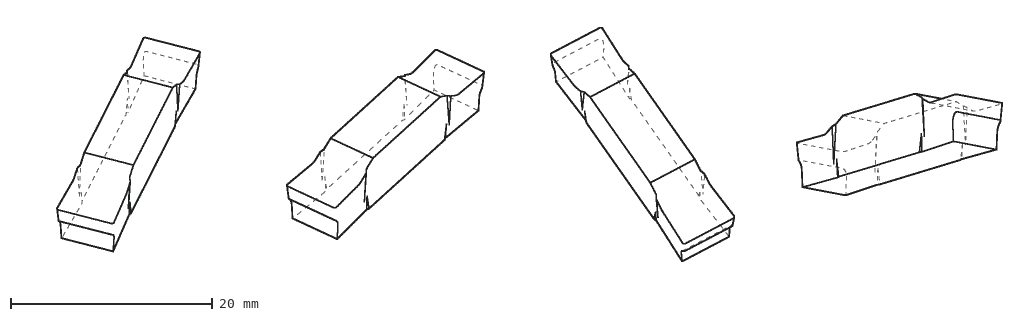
import cadquery as cq
import math

length = 25.6
height = 6.15
half_length = length / 2

rake_height = 4.65
shoulder_inset = 7.05
shoulder_angle = math.radians(30)
shoulder_blend_radius = 1.02
lip_inset = 0.15
lip_height = 2.92
heel_inset = 0.72
heel_height = 1.8

edge_width = 6.01
edge_half_width = edge_width / 2
inward_taper = math.tan(math.radians(2.5))
downward_taper = math.tan(math.radians(3))
corner_radius = 0.2
head_inset = 7.68

body_width = 5.2
body_half_width = body_width / 2
upper_ramp_inset = 5.55
upper_ramp_slope = 1.75
relief_half_width = 3.33
lower_ramp_inset = 6.35
lower_ramp_lean = 0.18
lower_ramp_slope = 2.8
body_nose_half_width = 2.3


def head_half_width(inset, z):
    return edge_half_width - inward_taper * inset - downward_taper * (rake_height - z)


def mirrored(solid):
    """Join a solid at the -Y end with its twin at the +Y end."""
    return solid.union(solid.mirror("XZ"))


def full_height_loft(outline_at):
    """Loft between the plan outlines, given as (x, inset) points, at base and top."""
    def place(z):
        return [(x, inset - half_length) for x, inset in outline_at(z)]

    return (
        cq.Workplane("XY").polyline(place(0)).close()
        .workplane(offset=height).polyline(place(height)).close()
        .loft(ruled=True)
    )


def make_profile():
    """Side outline of one half, extruded across X and mirrored about the middle."""
    foot_inset = shoulder_inset - (height - rake_height) / math.tan(shoulder_angle)
    tangent = shoulder_blend_radius * math.tan(shoulder_angle / 2)
    blend_start = foot_inset - tangent
    blend_mid = (
        blend_start + shoulder_blend_radius * math.sin(shoulder_angle / 2),
        rake_height + shoulder_blend_radius * (1 - math.cos(shoulder_angle / 2)),
    )
    blend_end = (
        foot_inset + tangent * math.cos(shoulder_angle),
        rake_height + tangent * math.sin(shoulder_angle),
    )
    half = (
        cq.Workplane("YZ", origin=(0, -half_length, 0))
        .moveTo(half_length, 0)
        .lineTo(heel_inset, 0)
        .lineTo(heel_inset, heel_height)
        .tangentArcPoint((lip_inset, lip_height), relative=False)
        .lineTo(0, rake_height)
        .lineTo(blend_start, rake_height)
        .threePointArc(blend_mid, blend_end)
        .lineTo(shoulder_inset, height)
        .lineTo(half_length, height)
        .close()
        .extrude(relief_half_width, both=True)
    )
    return mirrored(half)


def head_outline(z):
    front = head_half_width(0, z)
    back = head_half_width(head_inset, z)
    return [(-front, 0), (front, 0), (back, head_inset), (-back, head_inset)]


def relief_outline(z):
    """Region beside the body, behind the upper ramp."""
    ramp_half_width = head_half_width(upper_ramp_inset, z)

    def ramp_inset(x):
        return upper_ramp_inset + upper_ramp_slope * (ramp_half_width - x)

    far_inset = head_inset + 0.25
    return [
        (body_half_width, ramp_inset(body_half_width)),
        (relief_half_width, ramp_inset(relief_half_width)),
        (relief_half_width, far_inset),
        (body_half_width, far_inset),
    ]


def body_outline(z):
    """Half of the body, with its lower ramps at the head end."""
    side_inset = lower_ramp_inset - lower_ramp_lean * z
    nose_inset = side_inset - lower_ramp_slope * (body_half_width - body_nose_half_width)
    return [
        (-body_half_width, half_length),
        (-body_half_width, side_inset),
        (-body_nose_half_width, nose_inset),
        (body_nose_half_width, nose_inset),
        (body_half_width, side_inset),
        (body_half_width, half_length),
    ]


def make_head():
    relief = full_height_loft(relief_outline)
    return full_height_loft(head_outline).cut(relief).cut(relief.mirror("YZ"))


def round_lip_corners(insert):
    """Round the four upright corners between the cutting lips and the head sides."""
    reach = 0.25
    lip_mid_height = (lip_height + rake_height) / 2
    for x_side in (-1, 1):
        for y_side in (-1, 1):
            x = x_side * head_half_width(lip_inset / 2, lip_mid_height)
            y = y_side * (half_length - lip_inset / 2)
            zone = cq.selectors.BoxSelector(
                (x - reach, y - reach, lip_mid_height - reach),
                (x + reach, y + reach, lip_mid_height + reach),
            )
            insert = insert.edges(zone).fillet(corner_radius)
    return insert


envelope = mirrored(full_height_loft(body_outline).union(make_head()))
result = round_lip_corners(make_profile().intersect(envelope))